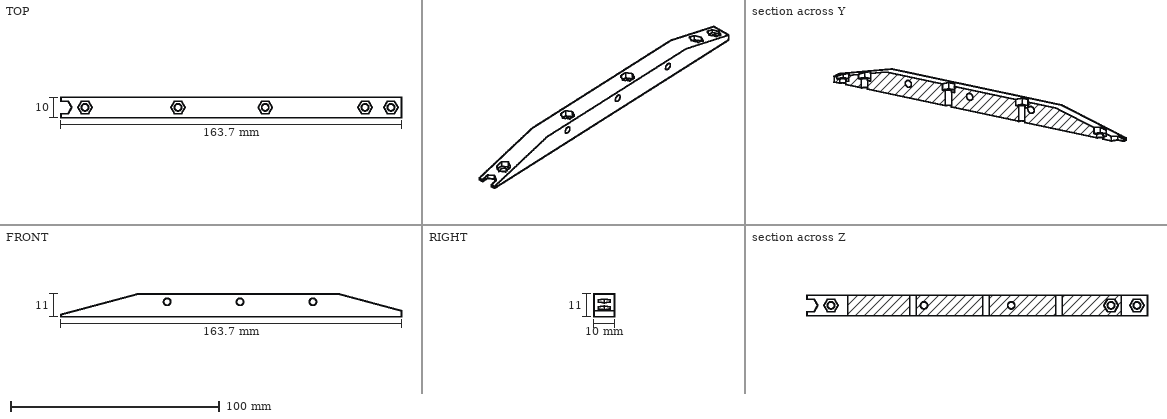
import cadquery as cq
import math

length = 163.7
width = 10.0
height = 11.0
left_ramp_end = 36.8
right_ramp_start = 133.7
ramp_angle = 15.0

hole_diameter = 3.3
hex_across_flats = 5.9
hex_across_corners = hex_across_flats / math.cos(math.radians(30))
left_ramp_seat_z = 2.0
tall_seat_z = 7.9
right_ramp_seat_z = 4.6
end_seat_z = 2.1
bolts = (
    (11.6, left_ramp_seat_z),
    (56.3, tall_seat_z),
    (98.2, tall_seat_z),
    (146.2, right_ramp_seat_z),
    (158.6, end_seat_z),
)

cross_hole_middle_x = 86.1
cross_hole_spacing = 35.0
cross_hole_z = 7.2

notch_hex_x = 1.8

ramp_slope = math.tan(math.radians(ramp_angle))
left_end_height = height - left_ramp_end * ramp_slope
right_end_height = height - (length - right_ramp_start) * ramp_slope


def make_bar():
    """Bar with a ramp at each end, centred on Y = 0."""
    return (
        cq.Workplane("XZ")
        .moveTo(0, 0)
        .lineTo(length, 0)
        .lineTo(length, right_end_height)
        .lineTo(right_ramp_start, height)
        .lineTo(left_ramp_end, height)
        .lineTo(0, left_end_height)
        .close()
        .extrude(width / 2, both=True)
    )


def bolt_cutter(x, seat_z):
    """Vertical through hole with a hexagonal nut pocket open at the upper surface."""
    hole = cq.Workplane("XY").center(x, 0).circle(hole_diameter / 2).extrude(height)
    pocket = (
        cq.Workplane("XY", origin=(x, 0, seat_z))
        .polygon(6, hex_across_corners)
        .extrude(height)
    )
    return hole.union(pocket)


def notch_cutter():
    """Hexagonal notch opened through the thin end."""
    hexagon = cq.Workplane("XY").center(notch_hex_x, 0).polygon(6, hex_across_corners).extrude(height)
    mouth = cq.Workplane("XY").box(notch_hex_x, hex_across_flats, height, centered=(False, True, False))
    return hexagon.union(mouth)


result = make_bar().cut(notch_cutter())

for bolt_x, nut_seat_z in bolts:
    result = result.cut(bolt_cutter(bolt_x, nut_seat_z))

for step in (-1, 0, 1):
    cross_hole = (
        cq.Workplane("XZ")
        .center(cross_hole_middle_x + step * cross_hole_spacing, cross_hole_z)
        .circle(hole_diameter / 2)
        .extrude(width, both=True)
    )
    result = result.cut(cross_hole)